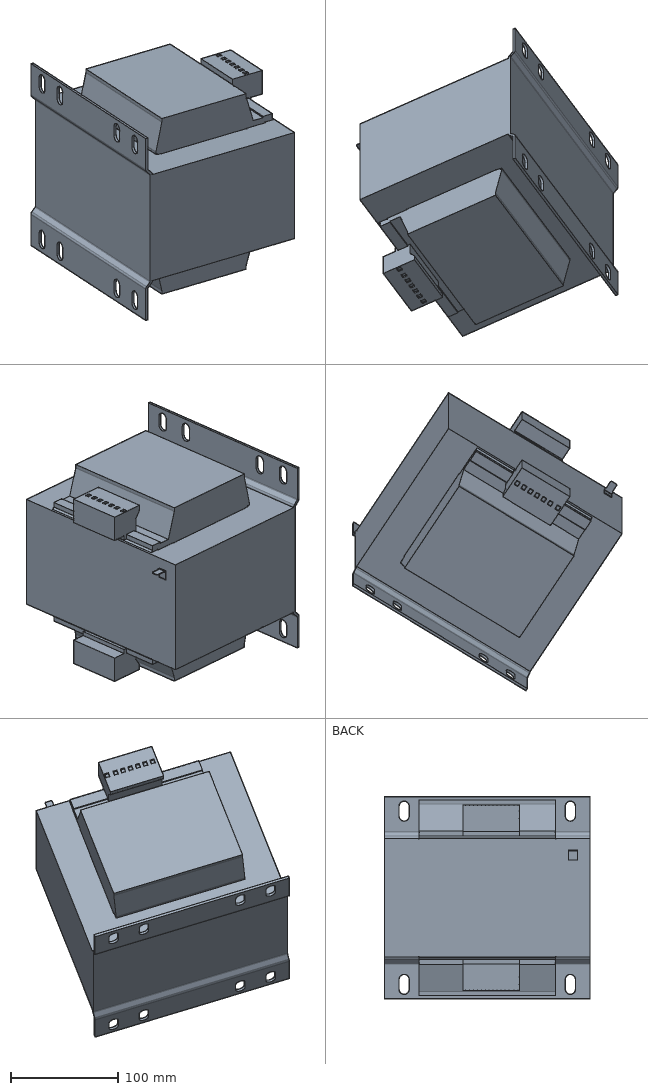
import cadquery as cq
import math

width = 192.0
height = 189.0

sheet = 2.5
joggle = 5.0
flange_inner_z = 61.6
bend_angle = 45
bend_inner_radius = 0.8
bend_outer_radius = bend_inner_radius + sheet

slot_length = 18.5
slot_width = 9.2
slot_z = 80.8
slot_xs = (-77.5, -47.6, 47.6, 77.5)

core_front = joggle + sheet
core_back = 167.5
core_half_height = 55.1
core_leg = width / 6
window_half_width = width / 2 - core_leg
window_front = core_front + core_leg
window_back = core_back - core_leg

coil_half_width = 63.5
coil_top = 91.2
coil_rim = 3.6
coil_front = 40.0
coil_back = 134.8
coil_foot_front = 33.2
coil_foot_height = 3.3
deck_front = 142.8
deck_z = 61.0
strip_front = 153.8
strip_back = 164.4
strip_z = 62.4
bobbin_back = 166.0
bobbin_clearance = 0.8
rear_clearance_front = 156.7
front_clearance_back = 35.0

terminal_left = -30.0
terminal_right = 22.8
terminal_back = 180.3
terminal_front = 146.7
terminal_waist_front = 151.3
terminal_top = 86.4
terminal_bottom = 61.8
terminal_nose_z = 81.0
terminal_waist_z = 74.1
clip_back = 167.5
clip_bottom = 57.6

opening_width = 3.6
opening_length = 4.2
opening_depth = 2.0
opening_y = 164.7
opening_pitch = 7.3
first_opening_x = -26.7
second_opening_x = -18.2
evenly_spaced_openings = 6

tab_x = -79.9
tab_thickness = 0.8
tab_top = 44.5
tab_foot_bottom = 35.3
tab_foot_width = 8.3
tab_shoulder_y = 170.5
tab_blade_width = 7.0
tab_tip_width = 5.4
tab_tip_y = 178.8
tab_tip_chamfer = 0.8


def extrude_profile(points, x_start, x_end):
    """Extrude a (Y, Z) outline along X."""
    outline = cq.Workplane("YZ", origin=(x_start, 0, 0)).polyline(points).close()
    return outline.extrude(x_end - x_start)


def box_between(x_range, y_range, z_range):
    """Axis-aligned box from its three (low, high) ranges."""
    size = [high - low for low, high in (x_range, y_range, z_range)]
    corner = cq.Vector(x_range[0], y_range[0], z_range[0])
    return cq.Workplane("XY").box(*size, centered=False).translate(corner)


def with_mirror(solid):
    """Join a solid with its mirror image in Z = 0."""
    return solid.union(solid.mirror("XY"))


def mounting_plate():
    bend_shift = sheet * math.tan(math.radians(bend_angle / 2))
    slope_height = joggle / math.tan(math.radians(bend_angle))
    back_low = (core_front, flange_inner_z - slope_height)
    back_high = (sheet, flange_inner_z)
    front_low = (joggle, flange_inner_z - slope_height - bend_shift)
    front_high = (0, flange_inner_z - bend_shift)
    points = [
        (joggle, 0),
        front_low,
        front_high,
        (0, height / 2),
        (sheet, height / 2),
        back_high,
        back_low,
        (core_front, 0),
    ]
    half = extrude_profile(points, -width / 2, width / 2)
    for (y, z), radius in (
        (front_high, bend_outer_radius),
        (back_low, bend_outer_radius),
        (front_low, bend_inner_radius),
        (back_high, bend_inner_radius),
    ):
        bend = cq.selectors.NearestToPointSelector((0, y, z))
        half = half.edges(bend).fillet(radius)
    slots = (
        cq.Workplane("XZ")
        .pushPoints([(x, slot_z) for x in slot_xs])
        .slot2D(slot_length, slot_width, 90)
        .extrude(-sheet)
    )
    return with_mirror(half.cut(slots))


def core():
    z_range = (-core_half_height, core_half_height)
    body = box_between((-width / 2, width / 2), (core_front, core_back), z_range)
    for x_range in (
        (-window_half_width, -coil_half_width),
        (coil_half_width, window_half_width),
    ):
        gap = box_between(x_range, (window_front, window_back), z_range)
        body = body.cut(gap)
    return body


def coil():
    underside = core_half_height + bobbin_clearance
    points = [
        (front_clearance_back, core_half_height),
        (front_clearance_back, underside),
        (coil_foot_front, underside),
        (coil_foot_front, core_half_height + coil_foot_height),
        (coil_front, coil_top - coil_rim),
        (coil_front, coil_top),
        (coil_back, coil_top),
        (coil_back, coil_top - coil_rim),
        (deck_front, deck_z),
        (strip_front, deck_z),
        (strip_front, strip_z),
        (strip_back, strip_z),
        (strip_back, clip_bottom),
        (bobbin_back, underside),
        (rear_clearance_front, underside),
        (rear_clearance_front, core_half_height),
    ]
    return with_mirror(extrude_profile(points, -coil_half_width, coil_half_width))


def terminals():
    points = [
        (terminal_back, terminal_bottom),
        (terminal_back, terminal_top),
        (terminal_front, terminal_top),
        (terminal_front, terminal_nose_z),
        (terminal_waist_front, terminal_waist_z),
        (terminal_waist_front, deck_z),
        (strip_front, deck_z),
        (strip_front, strip_z),
        (strip_back, strip_z),
        (strip_back, clip_bottom),
        (clip_back, clip_bottom),
        (clip_back, terminal_bottom),
    ]
    block = extrude_profile(points, terminal_left, terminal_right)
    opening_xs = [first_opening_x]
    opening_xs += [second_opening_x + i * opening_pitch for i in range(evenly_spaced_openings)]
    openings = (
        cq.Workplane("XY", origin=(0, 0, terminal_top))
        .pushPoints([(x, opening_y) for x in opening_xs])
        .rect(opening_width, opening_length)
        .extrude(-opening_depth)
    )
    return with_mirror(block.cut(openings))


def earth_tab():
    foot = box_between(
        (tab_x - tab_foot_width / 2, tab_x + tab_foot_width / 2),
        (core_back, core_back + tab_thickness),
        (tab_foot_bottom, tab_top),
    )
    right_edge = [
        (tab_foot_width / 2, core_back),
        (tab_foot_width / 2, tab_shoulder_y),
        (tab_blade_width / 2, tab_shoulder_y),
        (tab_blade_width / 2, tab_tip_y - tab_tip_chamfer),
        (tab_tip_width / 2, tab_tip_y),
    ]
    left_edge = [(-x, y) for x, y in reversed(right_edge)]
    blade = (
        cq.Workplane("XY", origin=(tab_x, 0, tab_top))
        .polyline(right_edge + left_edge)
        .close()
        .extrude(-tab_thickness)
    )
    return foot.union(blade)


result = mounting_plate().union(core()).union(coil()).union(terminals()).union(earth_tab())